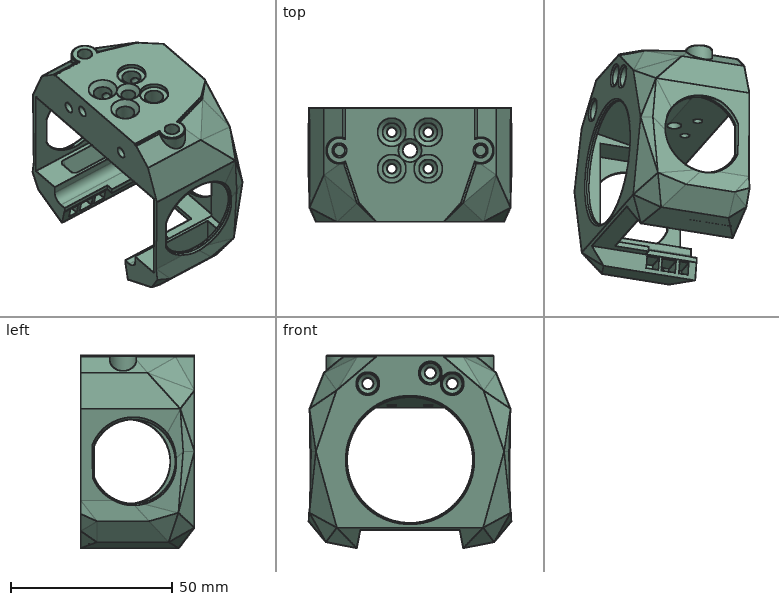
import math

import cadquery as cq


half_width = 31.5
depth = 35.35
top_z = 32.44
bottom_z = -27.4

lip_height = 0.4
lip_inset = 0.7
shoulder_z = top_z - lip_height
front_facet_y = 5.9
top_side_x = 20.8
top_side_front_y = 18.8
top_facet_x = 16.5
top_front_x = 10.5
side_facet_y = 14.6
rear_facet_y = 30.3
foot_inner_x = 16.5
foot_front_y = 4.9

plate_thickness = 1.2
lens_diameter = 39.0
lens_chamfer = 0.5
cavity_half_width = 20.2
cavity_top_z = 16.2
roof_front_z = 20.0
roof_ramp_end_y = 20.0
floor_z = -20.2
floor_fillet = 3.0
bay_half_width = 29.6
bay_front_y = 5.3
shelf_z = -15.0

window_z = -0.5
window_y = 19.0
window_radius = 13.05
window_flat_y = 31.1
window_chamfer = 0.6
window_mouth_x = 31.0
right_window_shift = 1.6

floor_underside_z = -21.8
channel_top_half_width = 15.4
channel_bottom_half_width = 16.5
opening_front_y = 7.4
opening_step_y = 18.5
opening_narrow_half_width = 12.9
opening_wide_half_width = 15.2
pocket_front_y = 7.5
pocket_rear_y = 27.0
pocket_floor_z = -24.7
pocket_inner_x = 21.2
pocket_top_x = 28.6
pocket_corner_radius = 1.4
pocket_floor_x = 24.5
vent_ranges_y = [(19.0, 23.0), (24.0, 28.6), (29.8, 32.8)]
vent_top_z = -22.3
vent_bottom_z = -26.0
vent_end_x = 21.8

front_screws = [(-13.1, 23.7), (6.3, 27.0), (13.1, 23.7)]
front_mouth_diameter = 7.2
front_bore_diameter = 6.2
front_bore_depth = 2.6
front_through_diameter = 3.4
mount_y = 22.15
mount_offset = 5.66
mount_mouth_diameter = 8.8
mount_bore_diameter = 5.7
mount_bore_depth = 9.0
mount_recess_depth = 1.3
mount_through_diameter = 2.9
centre_mouth_diameter = 7.2
centre_through_diameter = 4.4
boss_x = 21.9
boss_diameter = 8.3
boss_base_z = 24.0
boss_chamfer = 0.3
boss_bore_diameter = 4.5
boss_bore_depth = 5.0
boss_pilot_diameter = 3.4
boss_pilot_depth = 8.0

margin = 1.0


def box(x_range, y_range, z_range):
    """Axis-aligned block between the given limits."""
    sizes = [high - low for low, high in (x_range, y_range, z_range)]
    corner = (x_range[0], y_range[0], z_range[0])
    return cq.Workplane("XY").box(*sizes, centered=False).translate(corner)


def both_sides(solid):
    """The solid joined with its mirror image across X = 0."""
    return solid.union(solid.mirror("YZ"))


def prism_along_y(points, y_start, y_end):
    """X-Z outline extruded from y_start to y_end."""
    plane = cq.Workplane("XZ", origin=(0, y_start, 0))
    return plane.polyline(points).close().extrude(y_start - y_end)


def faceted_half():
    """Right half of the outer shell as a closed polyhedron."""
    corner = {
        "top_mid_rear": (0, depth, shoulder_z),
        "top_rear": (top_side_x, depth, shoulder_z),
        "top_side": (top_side_x, top_side_front_y, shoulder_z),
        "top_facet": (top_facet_x, front_facet_y, shoulder_z),
        "top_front": (top_front_x, 0, shoulder_z),
        "top_mid_front": (0, 0, shoulder_z),
        "shoulder_rear": (26.7, depth, 27.1),
        "shoulder_front": (26.7, side_facet_y, 27.1),
        "upper_rear": (31.2, depth, 15.9),
        "upper_front": (31.2, 4.4, 15.9),
        "waist_side": (30.7, 3.5, 2.7),
        "lower_rear": (30.8, depth, -12.5),
        "lower_mid": (30.8, 20.0, -12.5),
        "lower_front": (31.2, 5.0, -16.4),
        "front_upper": (22.8, 0, 21.6),
        "front_waist": (29.2, 0, 2.7),
        "front_lower": (22.7, 0, -21.0),
        "front_mid_lower": (0, 0, -21.0),
        "foot_rear": (31.4, depth, -16.7),
        "foot_side_rear": (half_width, rear_facet_y, -19.0),
        "foot_side_front": (half_width, 14.1, -19.0),
        "foot_base_front": (26.1, 8.0, -25.5),
        "foot_base_rear": (26.1, rear_facet_y, -25.5),
        "foot_corner": (28.5, depth, -22.0),
        "foot_tip_front": (foot_inner_x, foot_front_y, bottom_z),
        "foot_tip_rear": (foot_inner_x, depth, bottom_z),
        "base_mid_front": (0, foot_front_y, bottom_z),
        "base_mid_rear": (0, depth, bottom_z),
    }
    faces = [
        "top_mid_rear top_rear top_side top_facet top_front top_mid_front",
        "top_rear shoulder_rear shoulder_front",
        "top_rear top_side shoulder_front",
        "top_side top_facet shoulder_front",
        "shoulder_rear upper_rear shoulder_front",
        "upper_rear upper_front shoulder_front",
        "top_facet top_front front_upper",
        "top_facet front_upper shoulder_front",
        "shoulder_front front_upper upper_front",
        "upper_front front_upper front_waist",
        "upper_front front_waist waist_side",
        "waist_side front_waist lower_front",
        "lower_front front_waist front_lower",
        "upper_rear lower_rear lower_mid",
        "upper_rear lower_mid upper_front",
        "upper_front lower_mid waist_side",
        "waist_side lower_mid lower_front",
        "lower_rear foot_rear foot_side_rear",
        "lower_rear foot_side_rear lower_mid",
        "lower_mid foot_side_rear foot_side_front",
        "lower_mid foot_side_front lower_front",
        "foot_side_rear foot_base_rear foot_base_front foot_side_front",
        "lower_front foot_side_front foot_base_front",
        "lower_front foot_base_front front_lower",
        "foot_rear foot_corner foot_side_rear",
        "foot_side_rear foot_corner foot_base_rear",
        "foot_corner foot_tip_rear foot_base_rear",
        "foot_base_rear foot_tip_rear foot_base_front",
        "foot_tip_rear foot_tip_front foot_base_front",
        "foot_base_front foot_tip_front front_lower",
        "front_lower foot_tip_front base_mid_front front_mid_lower",
        "foot_tip_front foot_tip_rear base_mid_rear base_mid_front",
        "top_mid_front top_front front_upper front_waist front_lower front_mid_lower",
        "top_mid_rear top_rear shoulder_rear upper_rear lower_rear foot_rear foot_corner "
        "foot_tip_rear base_mid_rear",
        "top_mid_rear top_mid_front front_mid_lower base_mid_front base_mid_rear",
    ]
    skins = []
    for names in faces:
        points = [cq.Vector(*corner[name]) for name in names.split()]
        skins.append(cq.Face.makeFromWires(cq.Wire.makePolygon(points, close=True)))
    solid = cq.Solid.makeSolid(cq.Shell.makeShell(skins))
    return cq.Workplane(obj=solid.fix())


def top_lip():
    """Thin raised plate on the top, set in from the sloping sides."""
    right_edge = [
        (top_side_x - lip_inset, depth),
        (top_side_x - lip_inset, top_side_front_y),
        (top_facet_x - lip_inset, front_facet_y),
        (top_front_x, 0),
    ]
    left_edge = [(-x, y) for x, y in reversed(right_edge)]
    plane = cq.Workplane("XY", origin=(0, 0, shoulder_z))
    return plane.polyline(right_edge + left_edge).close().extrude(lip_height)


def boss():
    """Upright screw boss standing out of the right shoulder."""
    plane = cq.Workplane("XY", origin=(boss_x, mount_y, boss_base_z))
    return plane.circle(boss_diameter / 2).extrude(top_z - boss_base_z).faces(">Z").chamfer(boss_chamfer)


def stepped_hole(plane, sections):
    """Revolved cutter: sections are (start depth, end depth, start radius, end radius)."""
    cutter = None
    for start, end, start_radius, end_radius in sections:
        level = plane.workplane(offset=-start)
        if start_radius == end_radius:
            piece = level.circle(start_radius).extrude(start - end)
        else:
            piece = level.circle(start_radius).workplane(offset=start - end).circle(end_radius).loft()
        cutter = piece if cutter is None else cutter.union(piece)
    return cutter


def lens_opening():
    plane = cq.Workplane("XZ")
    radius = lens_diameter / 2
    sections = [
        (0, lens_chamfer, radius + lens_chamfer, radius),
        (lens_chamfer, plate_thickness + margin, radius, radius),
    ]
    return stepped_hole(plane, sections)


def cavity():
    """Rear-opening central cavity with a wider bay on each side."""
    central = box(
        (-cavity_half_width, cavity_half_width),
        (plate_thickness, depth + margin),
        (floor_z, cavity_top_z),
    )
    central = central.edges("|Y and <Z").fillet(floor_fillet)
    bays = box(
        (-bay_half_width, bay_half_width),
        (bay_front_y, depth + margin),
        (shelf_z, cavity_top_z),
    )
    roof_ramp = (
        cq.Workplane("YZ", origin=(-cavity_half_width, 0, 0))
        .moveTo(plate_thickness, cavity_top_z)
        .lineTo(plate_thickness, roof_front_z)
        .lineTo(roof_ramp_end_y, cavity_top_z)
        .close()
        .extrude(2 * cavity_half_width)
    )
    return central.union(bays).union(roof_ramp)


def window_outline(x, offset):
    """Window outline at the given X: a circle cut flat towards the rear, grown by offset."""
    radius = window_radius + offset
    flat = window_flat_y - window_y + offset
    half_chord = math.sqrt(radius**2 - flat**2)
    plane = cq.Workplane("YZ", origin=(x, window_y, window_z))
    return plane.moveTo(flat, half_chord).threePointArc((-radius, 0), (flat, -half_chord)).close()


def full_window():
    """Right-hand window cutter with a chamfered mouth."""
    chamfer_x = window_mouth_x - window_chamfer
    overshoot = 2 * window_chamfer
    bore_start = bay_half_width - margin
    bore = window_outline(bore_start, 0).extrude(chamfer_x - bore_start)
    inner_wire = window_outline(chamfer_x, 0).val()
    outer_wire = window_outline(chamfer_x + overshoot, overshoot).val()
    mouth = cq.Workplane(obj=cq.Solid.makeLoft([inner_wire, outer_wire], True))
    return bore.union(mouth)


def right_window():
    """Window whose front edge is moved rearward to a shifted circle."""
    plane = cq.Workplane("YZ", origin=(0, window_y + right_window_shift, window_z))
    return full_window().intersect(plane.circle(window_radius).extrude(half_width + margin))


def bottom_opening():
    """Channel between the feet and the stepped opening in the floor above it."""
    half_profile = [
        (channel_top_half_width, floor_underside_z),
        (channel_bottom_half_width, bottom_z),
        (channel_bottom_half_width, bottom_z - margin),
    ]
    mirrored = [(-x, z) for x, z in reversed(half_profile)]
    channel = prism_along_y(half_profile + mirrored, -margin, depth + margin)
    floor_range = (floor_underside_z - margin, floor_z + margin)
    narrow = box(
        (-opening_narrow_half_width, opening_narrow_half_width),
        (opening_front_y, depth + margin),
        floor_range,
    )
    wide = box(
        (-opening_wide_half_width, opening_wide_half_width),
        (opening_step_y, depth + margin),
        floor_range,
    )
    return channel.union(narrow).union(wide)


def corner_pocket():
    """Pocket sunk into the right shelf, with vents leading to the channel."""
    outline = [
        (pocket_inner_x, shelf_z + margin),
        (pocket_top_x, shelf_z + margin),
        (pocket_floor_x, pocket_floor_z),
        (pocket_inner_x, pocket_floor_z),
    ]
    pocket = prism_along_y(outline, pocket_front_y, pocket_rear_y)
    pocket = pocket.faces(">Y").edges("not #Z").fillet(pocket_corner_radius)
    for y_range in vent_ranges_y:
        vent = box((channel_top_half_width - margin, vent_end_x), y_range, (vent_bottom_z, vent_top_z))
        pocket = pocket.union(vent)
    return pocket


def front_screw_hole(x, z):
    mouth = front_mouth_diameter / 2
    bore = front_bore_diameter / 2
    through = front_through_diameter / 2
    seat_end = front_bore_depth + bore - through
    sections = [
        (0, mouth - bore, mouth, bore),
        (mouth - bore, front_bore_depth, bore, bore),
        (front_bore_depth, seat_end, bore, through),
        (seat_end, depth + margin, through, through),
    ]
    return stepped_hole(cq.Workplane("XZ", origin=(x, 0, z)), sections)


def mount_hole(x, y, is_front):
    """Mounting screw hole with a conical seat; the front pair has a flat recess as its mouth."""
    mouth = mount_mouth_diameter / 2
    bore = mount_bore_diameter / 2
    through = mount_through_diameter / 2
    seat_end = mount_bore_depth + bore - through
    if is_front:
        entry = [
            (0, mount_recess_depth, mouth, mouth),
            (mount_recess_depth, mount_bore_depth, bore, bore),
        ]
    else:
        entry = [
            (0, mouth - bore, mouth, bore),
            (mouth - bore, mount_bore_depth, bore, bore),
        ]
    sections = entry + [
        (mount_bore_depth, seat_end, bore, through),
        (seat_end, top_z - cavity_top_z + margin, through, through),
    ]
    return stepped_hole(cq.Workplane("XY", origin=(x, y, top_z)), sections)


def centre_hole():
    """Central through hole with a 45 degree countersink."""
    mouth = centre_mouth_diameter / 2
    radius = centre_through_diameter / 2
    sections = [
        (0, mouth - radius, mouth, radius),
        (mouth - radius, top_z - cavity_top_z + margin, radius, radius),
    ]
    return stepped_hole(cq.Workplane("XY", origin=(0, mount_y, top_z)), sections)


def boss_hole(x):
    """Blind counterbored hole down a boss."""
    bore = boss_bore_diameter / 2
    pilot = boss_pilot_diameter / 2
    sections = [
        (0, boss_bore_depth, bore, bore),
        (boss_bore_depth, boss_pilot_depth, pilot, pilot),
    ]
    return stepped_hole(cq.Workplane("XY", origin=(x, mount_y, top_z)), sections)


half = faceted_half().union(boss())
body = both_sides(half).union(top_lip())
body = body.cut(cavity()).cut(lens_opening()).cut(bottom_opening())
body = body.cut(right_window()).cut(full_window().mirror("YZ"))
body = body.cut(both_sides(corner_pocket()))

for screw_x, screw_z in front_screws:
    body = body.cut(front_screw_hole(screw_x, screw_z))
for side_x in (-1, 1):
    for side_y in (-1, 1):
        body = body.cut(mount_hole(side_x * mount_offset, mount_y + side_y * mount_offset, side_y < 0))
    body = body.cut(boss_hole(side_x * boss_x))
body = body.cut(centre_hole())

result = body